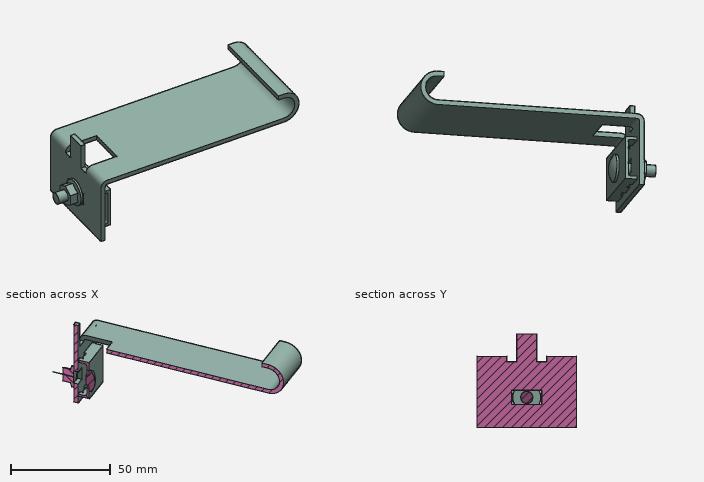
import cadquery as cq
import math


width = 50.0
height = 52.0
sheet = 2.5
sheet_end = 115.35
hook_radius = 8.8
hook_lip = 3.3
bend_radius = 3.8
tab_width = 10.3
tab_top = 47.0
opening_width = 20.0
opening_depth = 18.0
slot_width = 15.0
slot_height = 7.0

clip_width = 40.1
clip_height = 22.1
clip_depth = 6.1
clip_sheet = 1.5
clip_bend_radius = 1.1
notch_depth = 1.1
notch_width = (opening_width - tab_width) / 2
relief_size = 0.5

axis_z = 15.2
shank_diameter = 6.1
bolt_tip = 11.48
head_diameter = 14.2
head_rim = 1.2
head_height = 3.5
neck_length = clip_sheet + 0.4

nut_flats = 10.1
nut_height = 6.1
flange_diameter = 14.2
flange_rim = 1.1
flange_height = 1.9

hook_y = sheet_end - hook_radius
hook_z = height - hook_radius
hook_inner = hook_radius - sheet
floor_z = height - 2 * hook_radius
floor_top = floor_z + sheet
plate_top = floor_top - bend_radius
bend_inner = bend_radius - sheet
clip_back = sheet + clip_depth


def box(x_size, y_start, y_end, z_start, z_end, x_center=0):
    """Box centred on x_center and spanning the given Y and Z ranges."""
    return cq.Workplane("XY").box(
        x_size, y_end - y_start, z_end - z_start, centered=(True, False, False)
    ).translate((x_center, y_start, z_start))


def axis_plane(y):
    """Workplane on the bolt axis whose extrusions run toward -Y."""
    return cq.Workplane("XZ", origin=(0, y, axis_z))


def make_bracket():
    """Bent sheet with a rear hook, an opening, an upright tab and a bolt slot."""
    diagonal = math.sqrt(0.5)
    outer_mid = (bend_radius * (1 - diagonal), floor_top - bend_radius * (1 - diagonal))
    inner_mid = (bend_radius - bend_inner * diagonal, plate_top + bend_inner * diagonal)
    profile = (
        cq.Workplane("YZ", origin=(-width / 2, 0, 0))
        .moveTo(0, 0)
        .lineTo(0, plate_top)
        .threePointArc(outer_mid, (bend_radius, floor_top))
        .lineTo(hook_y, floor_top)
        .threePointArc((hook_y + hook_inner, hook_z), (hook_y, height - sheet))
        .lineTo(hook_y - hook_lip, height - sheet)
        .lineTo(hook_y - hook_lip, height)
        .lineTo(hook_y, height)
        .threePointArc((sheet_end, hook_z), (hook_y, floor_z))
        .lineTo(bend_radius, floor_z)
        .threePointArc(inner_mid, (sheet, plate_top))
        .lineTo(sheet, 0)
        .close()
    )
    opening = box(opening_width, 0, opening_depth, plate_top, floor_top)
    tab = box(tab_width, 0, sheet, 0, tab_top)
    slot = axis_plane(sheet).rect(slot_width, slot_height).extrude(sheet)
    return profile.extrude(width).cut(opening).union(tab).cut(slot)


def make_clip():
    """Channel behind the plate, with notched legs and a square hole for the bolt neck."""
    bottom = axis_z - clip_height / 2
    top = axis_z + clip_height / 2
    channel = box(clip_width, sheet, clip_back, bottom, top)
    hollow = box(clip_width, sheet, clip_back - clip_sheet, bottom + clip_sheet, top - clip_sheet)
    clip = channel.cut(hollow.edges("|X and >Y").fillet(clip_bend_radius))
    notch_end = sheet + notch_depth
    for side in (-1, 1):
        notch_x = side * (tab_width + notch_width) / 2
        relief_x = side * (tab_width + relief_size) / 2
        clip = clip.cut(box(notch_width, sheet, notch_end, bottom, top, notch_x))
        clip = clip.cut(box(relief_size, notch_end, notch_end + relief_size, bottom, top, relief_x))
    neck_hole = axis_plane(clip_back).rect(shank_diameter, shank_diameter).extrude(clip_sheet)
    return clip.cut(neck_hole)


def make_bolt():
    """Domed carriage bolt with a square neck."""
    head_radius = head_diameter / 2
    dome = head_height - head_rim
    sphere_radius = (head_radius ** 2 + dome ** 2) / (2 * dome)
    mid_radius = head_radius / 2
    mid_y = head_height - sphere_radius + math.sqrt(sphere_radius ** 2 - mid_radius ** 2)
    head = (
        cq.Workplane("XY")
        .lineTo(head_radius, 0)
        .lineTo(head_radius, head_rim)
        .threePointArc((mid_radius, mid_y), (0, head_height))
        .close()
        .revolve(360, (0, 0), (0, 1))
        .translate((0, clip_back, axis_z))
    )
    neck = axis_plane(clip_back).rect(shank_diameter, shank_diameter).extrude(neck_length)
    shank = axis_plane(clip_back).circle(shank_diameter / 2).extrude(clip_back + bolt_tip)
    return head.union(neck).union(shank)


def make_nut():
    """Hexagon nut with corners up and down, on a conical flange."""
    corner_diameter = nut_flats / math.cos(math.pi / 6)
    hexagon = (
        axis_plane(0)
        .transformed(rotate=(0, 0, 90))
        .polygon(6, corner_diameter)
        .extrude(nut_height)
    )
    flange_radius = flange_diameter / 2
    flange = (
        cq.Workplane("XY")
        .lineTo(flange_radius, 0)
        .lineTo(flange_radius, -flange_rim)
        .lineTo(nut_flats / 2, -flange_height)
        .lineTo(0, -flange_height)
        .close()
        .revolve(360, (0, 0), (0, 1))
        .translate((0, 0, axis_z))
    )
    bore = axis_plane(0).circle(shank_diameter / 2).extrude(nut_height)
    return hexagon.union(flange).cut(bore)


bracket = make_bracket()
clip = make_clip()
bolt = make_bolt()
nut = make_nut()
result = cq.Compound.makeCompound([bracket.val(), clip.val(), bolt.val(), nut.val()])